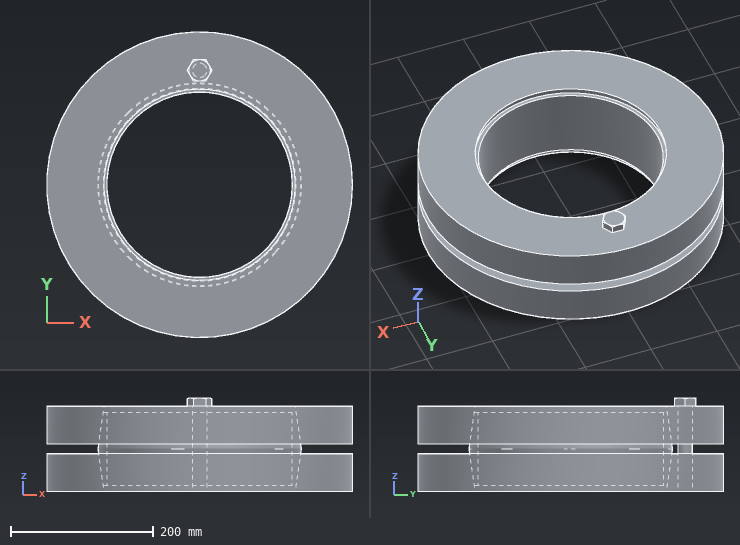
import cadquery as cq
import math

disc_diameter = 430.0
disc_thickness = 53.5
disc_gap = 13.5
disc_mouth_diameter = 268.8

ring_bore_diameter = 260.0
ring_ridge_diameter = 286.5
ring_recess = 8.5

bolt_offset = 161.0
bolt_diameter = 20.0
head_height = 11.5
head_flats = 30.0
head_chamfer_angle = 30.0

gap_half = disc_gap / 2
outer_face = gap_half + disc_thickness
ring_end = outer_face - ring_recess
mouth_radius = disc_mouth_diameter / 2
ridge_radius = ring_ridge_diameter / 2
taper_slope = (ridge_radius - mouth_radius) / outer_face
head_corners = head_flats / math.cos(math.pi / 6)


def taper_radius(height):
    """Radius of the mating taper at a height above or below the ridge."""
    return ridge_radius - taper_slope * height


def revolve_profile(points):
    """Solid of revolution about Z from (radius, height) points."""
    return cq.Workplane("XZ").polyline(points).close().revolve(360, (0, 0), (0, 1))


def make_shank():
    """Bolt shank, from the lower face of the lower disc to the head."""
    return (
        cq.Workplane("XY", origin=(0, bolt_offset, -outer_face))
        .circle(bolt_diameter / 2)
        .extrude(2 * outer_face)
    )


def make_disc(side):
    """Clamping disc with a tapered bore: side is 1 for upper, -1 for lower."""
    disc = revolve_profile([
        (taper_radius(gap_half), side * gap_half),
        (disc_diameter / 2, side * gap_half),
        (disc_diameter / 2, side * outer_face),
        (mouth_radius, side * outer_face),
    ])
    return disc.cut(make_shank())


def make_inner_ring():
    """Ring with a plain bore and a double taper outside."""
    bore_radius = ring_bore_diameter / 2
    return revolve_profile([
        (bore_radius, -ring_end),
        (taper_radius(ring_end), -ring_end),
        (ridge_radius, 0),
        (taper_radius(ring_end), ring_end),
        (bore_radius, ring_end),
    ])


def make_bolt():
    """Hex bolt with chamfered head corners, two flats facing +Y and -Y."""
    head = (
        cq.Workplane("XY", origin=(0, bolt_offset, outer_face))
        .polygon(6, head_corners)
        .extrude(head_height)
    )
    chamfer_width = (head_corners - head_flats) / 2
    chamfer_drop = chamfer_width * math.tan(math.radians(head_chamfer_angle))
    head_top = outer_face + head_height
    envelope = revolve_profile([
        (0, outer_face),
        (head_corners / 2, outer_face),
        (head_corners / 2, head_top - chamfer_drop),
        (head_flats / 2, head_top),
        (0, head_top),
    ]).translate((0, bolt_offset, 0))
    return make_shank().union(head.intersect(envelope))


discs = [make_disc(side) for side in (1, -1)]
inner_ring = make_inner_ring()
bolt = make_bolt()

result = cq.Compound.makeCompound([
    *[disc.solids().val() for disc in discs],
    inner_ring.val(),
    bolt.solids().val(),
])